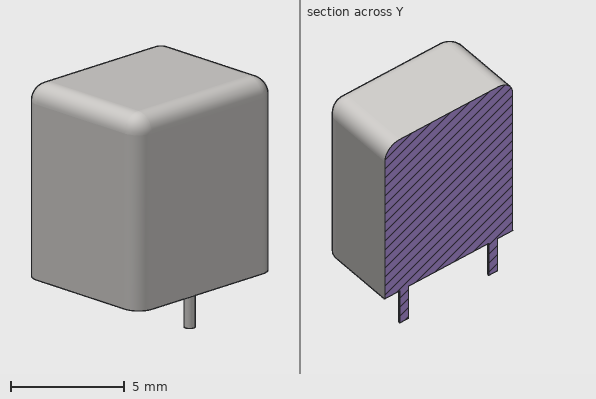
import cadquery as cq

body_width = 7.2
body_depth = 8.5
body_height = 9.0
edge_radius = 0.85

pin_diameter = 0.5
pin_pitch = 5.0
overall_height = 10.9
pin_length = overall_height - body_height
pin_embed = 0.5


def make_body():
    """Box rounded on its upright and top edges, with a sharp flat base."""
    box = cq.Workplane("XY").box(
        body_width, body_depth, body_height, centered=(True, True, False)
    )
    return box.edges("|Z or >Z").fillet(edge_radius)


def make_pin(x):
    """Round pin centred at X = x, reaching from inside the body down to its tip."""
    return (
        cq.Workplane("XY", origin=(x, 0, -pin_length))
        .circle(pin_diameter / 2)
        .extrude(pin_length + pin_embed)
    )


result = make_body()
for side in (-1, 1):
    result = result.union(make_pin(side * pin_pitch / 2))